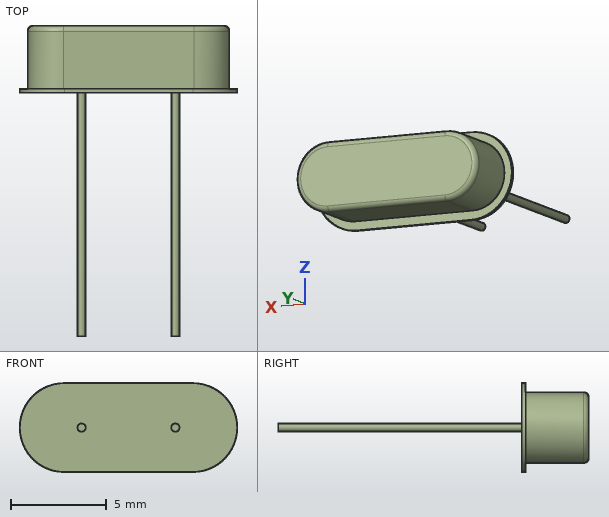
import cadquery as cq


flange_length = 11.35
flange_width = 4.65
flange_thickness = 0.2

can_length = 10.52
can_width = 3.7
can_height = 3.3
can_edge_radius = 0.28

lead_diameter = 0.43
lead_spacing = 4.89
lead_length = 12.7


def stadium_plate(length, width, start_y, thickness):
    """Round-ended plate lying in XZ, extruded toward +Y from start_y."""
    return (
        cq.Workplane("XZ", origin=(0, start_y, 0))
        .slot2D(length, width)
        .extrude(-thickness)
    )


def make_can():
    """Can standing on the flange, with its far rim rounded."""
    can = stadium_plate(can_length, can_width, flange_thickness, can_height)
    return can.faces(">Y").edges().fillet(can_edge_radius)


def make_lead(x):
    """Straight round lead running toward -Y from the flange face."""
    return (
        cq.Workplane("XZ")
        .center(x, 0)
        .circle(lead_diameter / 2)
        .extrude(lead_length)
    )


flange = stadium_plate(flange_length, flange_width, 0, flange_thickness)
result = flange.union(make_can())
for side in (-1, 1):
    result = result.union(make_lead(side * lead_spacing / 2))